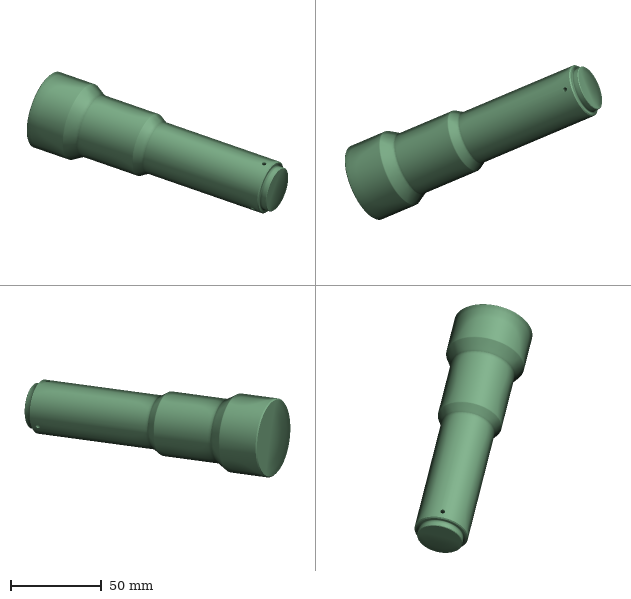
import cadquery as cq
import math

total_length = 146.3
head_diameter = 44.0
head_radius = head_diameter / 2
barrel_radius = 18.0
tube_radius = 15.0
spigot_radius = 12.7

head_end = 23.0
barrel_end = 64.8
tube_end = 142.5
taper_angle = 30.0

edge_chamfer = 0.6
spigot_chamfer = 0.3
taper_fillet = 1.0
spigot_root_fillet = 0.5

screw_count = 3
screw_diameter = 2.5
screw_depth = 4.0
screw_x = 138.0
drill_point_angle = 118.0


def taper_length(large_radius, small_radius):
    """Axial length of a cone running between two radii."""
    return (large_radius - small_radius) / math.tan(math.radians(taper_angle))


barrel_start = head_end + taper_length(head_radius, barrel_radius)
tube_start = barrel_end + taper_length(barrel_radius, tube_radius)


def edges_at(body, x):
    """Circular edges lying in the plane at the given x."""
    margin = 0.01
    slab = cq.selectors.BoxSelector(
        (x - margin, -total_length, -total_length),
        (x + margin, total_length, total_length),
        boundingbox=True,
    )
    return body.edges("%CIRCLE").edges(slab)


def turned_body():
    half_profile = [
        (0, 0),
        (0, head_radius - edge_chamfer),
        (edge_chamfer, head_radius),
        (head_end, head_radius),
        (barrel_start, barrel_radius),
        (barrel_end, barrel_radius),
        (tube_start, tube_radius),
        (tube_end - edge_chamfer, tube_radius),
        (tube_end, tube_radius - edge_chamfer),
        (tube_end, spigot_radius),
        (total_length - spigot_chamfer, spigot_radius),
        (total_length, spigot_radius - spigot_chamfer),
        (total_length, 0),
    ]
    body = cq.Workplane("XY").polyline(half_profile).close().revolve(360, (0, 0, 0), (1, 0, 0))
    for x in (head_end, barrel_start, barrel_end, tube_start):
        body = edges_at(body, x).fillet(taper_fillet)
    spigot_root = edges_at(body, tube_end).edges(cq.selectors.RadiusNthSelector(0))
    return spigot_root.fillet(spigot_root_fillet)


def screw_hole(angle):
    """Radial hole with a drill-point bottom, turned about the X axis from straight up."""
    hole_radius = screw_diameter / 2
    point_height = hole_radius / math.tan(math.radians(drill_point_angle / 2))
    shoulder_z = tube_radius - screw_depth
    half_outline = [
        (0, shoulder_z - point_height),
        (hole_radius, shoulder_z),
        (hole_radius, tube_radius + screw_diameter),
        (0, tube_radius + screw_diameter),
    ]
    hole = (
        cq.Workplane("XZ", origin=(screw_x, 0, 0))
        .polyline(half_outline)
        .close()
        .revolve(360, (0, 0, 0), (0, 1, 0))
    )
    return hole.rotate((0, 0, 0), (1, 0, 0), angle)


result = turned_body()
for i in range(screw_count):
    result = result.cut(screw_hole(i * 360 / screw_count))